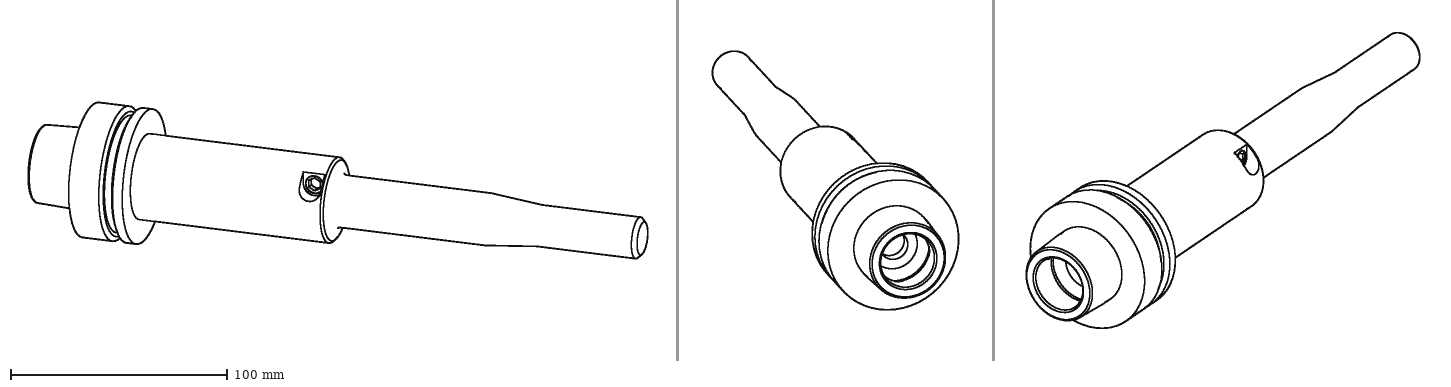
import cadquery as cq
import math

TOTAL_LENGTH = 295.0
TAPER_END = 19.0
FLANGE_START = 24.8
GROOVE_START = 39.5
GROOVE_END = 46.3
FLANGE_END = 51.0
BODY_END = 145.0
CONE_START = 219.5
CONE_END = 244.5

TAPER_TIP_DIAMETER = 36.5
TAPER_DIAMETER = 38.0
FLANGE_DIAMETER = 63.0
GROOVE_DIAMETER = 55.0
BODY_DIAMETER = 40.0
ARBOR_DIAMETER = 24.5
PILOT_DIAMETER = 19.5

TAPER_CHAMFER = 1.0
BODY_CHAMFER = 1.2
PILOT_CHAMFER = 2.0
ARBOR_FILLET = 3.5

GROOVE_MOUTH_DEPTH = 2.5
GROOVE_FLANK_ANGLE = 30.0

MOUTH_DIAMETER = 26.0
MOUTH_CHAMFER = 1.0
MOUTH_LENGTH = 9.5
CLAMP_DIAMETER = 32.0
CLAMP_ANGLE = 18.0
CLAMP_END = 20.0
FLOOR_DIAMETER = 22.5
FLOOR_DEPTH = 23.5
COOLANT_DIAMETER = 13.3
COOLANT_DEPTH = 29.5

SCREW_X = 138.0
SCREW_Z = 11.0
POCKET_WIDTH = 10.5
POCKET_FLOOR_Y = -11.2
SCREW_DIAMETER = 8.5
SCREW_RECESS = 0.5
HEX_ACROSS_FLATS = 5.5
HEX_SIDES = 6
HEX_DEPTH = 3.0
DRILL_POINT_ANGLE = 120.0


def outer_body():
    """Solid of revolution about X: taper, flange, body, arbor and pilot."""
    taper_tip = TAPER_TIP_DIAMETER / 2
    taper = TAPER_DIAMETER / 2
    flange = FLANGE_DIAMETER / 2
    groove = GROOVE_DIAMETER / 2
    groove_mouth = flange - GROOVE_MOUTH_DEPTH
    flank = GROOVE_MOUTH_DEPTH * math.tan(math.radians(GROOVE_FLANK_ANGLE))
    body = BODY_DIAMETER / 2
    arbor = ARBOR_DIAMETER / 2
    pilot = PILOT_DIAMETER / 2
    return (
        cq.Workplane("XY")
        .moveTo(0, 0)
        .lineTo(0, taper_tip - TAPER_CHAMFER)
        .lineTo(TAPER_CHAMFER, taper_tip)
        .lineTo(TAPER_END, taper)
        .lineTo(FLANGE_START, taper)
        .lineTo(FLANGE_START, flange)
        .lineTo(GROOVE_START, flange)
        .lineTo(GROOVE_START + flank, groove_mouth)
        .lineTo(GROOVE_START + flank, groove)
        .lineTo(GROOVE_END - flank, groove)
        .lineTo(GROOVE_END - flank, groove_mouth)
        .lineTo(GROOVE_END, flange)
        .lineTo(FLANGE_END, flange)
        .lineTo(FLANGE_END, body)
        .lineTo(BODY_END - BODY_CHAMFER, body)
        .lineTo(BODY_END, body - BODY_CHAMFER)
        .lineTo(BODY_END, arbor + ARBOR_FILLET)
        .radiusArc((BODY_END + ARBOR_FILLET, arbor), -ARBOR_FILLET)
        .lineTo(CONE_START, arbor)
        .lineTo(CONE_END, pilot)
        .lineTo(TOTAL_LENGTH - PILOT_CHAMFER, pilot)
        .lineTo(TOTAL_LENGTH, pilot - PILOT_CHAMFER)
        .lineTo(TOTAL_LENGTH, 0)
        .close()
        .revolve(360, (0, 0, 0), (1, 0, 0))
    )


def clamping_bore():
    """Chamfered mouth, undercut clamping chamber, tapered floor and coolant hole."""
    mouth = MOUTH_DIAMETER / 2
    clamp = CLAMP_DIAMETER / 2
    shoulder_length = (clamp - mouth) / math.tan(math.radians(CLAMP_ANGLE))
    coolant = COOLANT_DIAMETER / 2
    return (
        cq.Workplane("XY")
        .moveTo(0, 0)
        .lineTo(0, mouth + MOUTH_CHAMFER)
        .lineTo(MOUTH_CHAMFER, mouth)
        .lineTo(MOUTH_LENGTH, mouth)
        .lineTo(MOUTH_LENGTH + shoulder_length, clamp)
        .lineTo(CLAMP_END, clamp)
        .lineTo(FLOOR_DEPTH, FLOOR_DIAMETER / 2)
        .lineTo(FLOOR_DEPTH, coolant)
        .lineTo(COOLANT_DEPTH, coolant)
        .lineTo(COOLANT_DEPTH, 0)
        .close()
        .revolve(360, (0, 0, 0), (1, 0, 0))
    )


def screw_plane(y):
    """Plane facing -Y at the given Y, centred on the screw, local X along +X and Y along +Z."""
    return cq.Workplane(cq.Plane((SCREW_X, y, SCREW_Z), (1, 0, 0), (0, -1, 0)))


def screw_pocket():
    """U-shaped flat open to +Z, with a recessed hexagon socket screw in its floor."""
    half_width = POCKET_WIDTH / 2
    reach = BODY_DIAMETER / 2
    flat = (
        screw_plane(POCKET_FLOOR_Y)
        .moveTo(-half_width, reach)
        .lineTo(-half_width, 0)
        .threePointArc((0, -half_width), (half_width, 0))
        .lineTo(half_width, reach)
        .close()
        .extrude(reach)
    )

    screw_top = POCKET_FLOOR_Y + SCREW_RECESS
    recess = screw_plane(screw_top).circle(SCREW_DIAMETER / 2).extrude(SCREW_RECESS)

    socket_bottom = screw_top + HEX_DEPTH
    across_corners = HEX_ACROSS_FLATS / math.cos(math.pi / HEX_SIDES)
    socket = (
        screw_plane(socket_bottom)
        .transformed(rotate=(0, 0, 90))
        .polygon(HEX_SIDES, across_corners)
        .extrude(HEX_DEPTH)
    )

    point_radius = HEX_ACROSS_FLATS / 2
    point_depth = point_radius / math.tan(math.radians(DRILL_POINT_ANGLE / 2))
    drill_point = cq.Workplane(
        cq.Solid.makeCone(
            point_radius,
            0,
            point_depth,
            cq.Vector(SCREW_X, socket_bottom, SCREW_Z),
            cq.Vector(0, 1, 0),
        )
    )
    return flat.union(recess).union(socket).union(drill_point)


result = outer_body().cut(clamping_bore()).cut(screw_pocket())